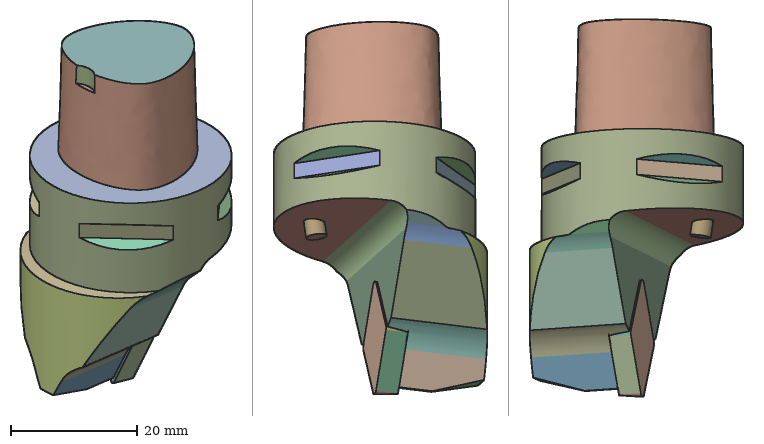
import cadquery as cq
import math


shank_height = 18.8
shank_base_radius = 11.05
shank_top_radius = 10.5
lobe_height = 0.74
outline_steps = 48
notch_radius = 3.5
notch_depth_y = -8.9
notch_height = 3.25

flange_radius = 16.0
flange_bottom = -16.1
slot_z = -6.15
slot_floor_distance = 14.15
slot_floor_height = 2.5
slot_flank_angle = 30
slot_count = 4

head_offset = 2.0
shelf_angle = 10
tip_z = -40.2
front_face_y = -0.3
relief_edge_z = -12.15
relief_slope = 4.6
relief_fillet = 3.55
heel_y = -18.0
heel_z = -36.1
toe_y = -9.7
toe_z = -38.6

shoulder_z = -14.5
shoulder_foot = (14.4, -16.1)
shoulder_bend = (13.4, -17.2)
flank_top = (12.7, -18.4)
flank_bottom = (6.8, -29.55)
throat_middle = (4.85, -30.85)
throat_end = (3.05, -33.2)
toe_half_width = 0.25

nozzle_diameter = 3.3
nozzle_tilt = 9
nozzle_end_y = 9.8
nozzle_end_z = -15.0
nozzle_length = 4.7

insert_angle = 55
insert_inscribed_radius = 4.8
insert_nose_radius = 0.795
insert_thickness = 3.9
insert_clearance = 7

margin = 5.9
span = 4 * flange_radius


def tan_deg(degrees):
    """Tangent of an angle in degrees."""
    return math.tan(math.radians(degrees))


def shank_outline(radius):
    """Closed constant-width outline with one lobe toward +Y."""
    points = []
    for step in range(outline_steps):
        t = 2 * math.pi * step / outline_steps
        reach = radius + lobe_height * math.cos(3 * t)
        slope = -3 * lobe_height * math.sin(3 * t)
        across = reach * math.sin(t) + slope * math.cos(t)
        along = reach * math.cos(t) - slope * math.sin(t)
        points.append(cq.Vector(across, along, 0))
    edge = cq.Edge.makeSpline(points, periodic=True)
    return cq.Wire.assembleEdges([edge])


def make_shank():
    base = shank_outline(shank_base_radius)
    top = shank_outline(shank_top_radius).translate(cq.Vector(0, 0, shank_height))
    shank = cq.Workplane(cq.Solid.makeLoft([base, top], True))
    notch = (
        cq.Workplane("XY", origin=(0, notch_depth_y - notch_radius, shank_height - notch_height))
        .circle(notch_radius)
        .extrude(notch_height + margin)
    )
    return shank.cut(notch)


def cut_gripper_slots(body):
    """Slots with a flat floor and sloping flanks, between the X and Y axes."""
    outer = flange_radius + margin
    floor_half = slot_floor_height / 2
    mouth_half = floor_half + (outer - slot_floor_distance) * tan_deg(slot_flank_angle)
    slot = (
        cq.Workplane("XZ")
        .polyline([
            (slot_floor_distance, slot_z - floor_half),
            (outer, slot_z - mouth_half),
            (outer, slot_z + mouth_half),
            (slot_floor_distance, slot_z + floor_half),
        ])
        .close()
        .extrude(flange_radius, both=True)
    )
    pitch = 360 / slot_count
    for index in range(slot_count):
        body = body.cut(slot.rotate((0, 0, 0), (0, 0, 1), (index + 0.5) * pitch))
    return body


def make_head_blank():
    """Offset cylinder whose top is a shallow cone around the tool axis."""
    cylinder = (
        cq.Workplane("XY", origin=(0, -head_offset, tip_z))
        .circle(flange_radius)
        .extrude(-tip_z)
    )
    outer = flange_radius + margin
    cone_drop = margin * tan_deg(shelf_angle)
    below_shelf = (
        cq.Workplane("XZ")
        .polyline([
            (0, flange_bottom),
            (flange_radius, flange_bottom),
            (outer, flange_bottom - cone_drop),
            (outer, tip_z),
            (0, tip_z),
        ])
        .close()
        .revolve(360, (0, 0), (0, 1))
    )
    return cylinder.intersect(below_shelf)


def flank_envelope():
    """Tapering outline in XZ, carried through along Y."""
    def mirrored(point):
        return (-point[0], point[1])

    outer = flange_radius + margin
    shoulder_outer = (outer, shoulder_z + margin)
    toe = (toe_half_width, toe_z)
    return (
        cq.Workplane("XZ")
        .moveTo(outer, 0)
        .lineTo(*shoulder_outer)
        .lineTo(*shoulder_foot)
        .threePointArc(shoulder_bend, flank_top)
        .lineTo(*flank_bottom)
        .threePointArc(throat_middle, throat_end)
        .lineTo(*toe)
        .lineTo(*mirrored(toe))
        .lineTo(*mirrored(throat_end))
        .threePointArc(mirrored(throat_middle), mirrored(flank_bottom))
        .lineTo(*mirrored(flank_top))
        .threePointArc(mirrored(shoulder_bend), mirrored(shoulder_foot))
        .lineTo(*mirrored(shoulder_outer))
        .lineTo(-outer, 0)
        .close()
        .extrude(span, both=True)
    )


def side_envelope():
    """Outline in YZ with the front relief and the sloping heel, carried through along X."""
    slope = tan_deg(relief_slope)
    relief_corner_z = relief_edge_z - (flange_radius - front_face_y) * slope
    outer = flange_radius + margin
    envelope = (
        cq.Workplane("YZ")
        .polyline([
            (outer, 0),
            (outer, relief_edge_z + margin * slope),
            (front_face_y, relief_corner_z),
            (front_face_y, toe_z),
            (toe_y, toe_z),
            (heel_y, heel_z),
            (heel_y, 0),
        ])
        .close()
        .extrude(span, both=True)
    )
    corner = cq.selectors.NearestToPointSelector((0, front_face_y, relief_corner_z))
    return envelope.edges("|X").edges(corner).fillet(relief_fillet)


def make_nozzle():
    tilt = math.radians(nozzle_tilt)
    axis = cq.Vector(0, math.sin(tilt), math.cos(tilt))
    end = cq.Vector(0, nozzle_end_y, nozzle_end_z)
    return cq.Workplane(cq.Solid.makeCylinder(nozzle_diameter / 2, nozzle_length, end, axis))


def make_insert():
    """Rhombic insert with rounded corners, its sides drawn in away from the cutting face."""
    half_angle = math.radians(insert_angle / 2)
    half_length = insert_inscribed_radius / math.sin(half_angle)
    half_width = insert_inscribed_radius / math.cos(half_angle)
    nose_setback = insert_nose_radius * (1 / math.sin(half_angle) - 1)
    center_z = tip_z + half_length - nose_setback

    def rounded_rhombus(inset, depth):
        """Outline moved inward by the inset, its corner radius shrinking by the same amount."""
        scale = 1 - inset / insert_inscribed_radius
        outline = cq.Wire.makePolygon(
            [
                cq.Vector(0, -depth, center_z + half_length * scale),
                cq.Vector(half_width * scale, -depth, center_z),
                cq.Vector(0, -depth, center_z - half_length * scale),
                cq.Vector(-half_width * scale, -depth, center_z),
            ],
            close=True,
        )
        return outline.fillet2D(insert_nose_radius - inset, outline.Vertices())

    back_inset = insert_thickness * tan_deg(insert_clearance)
    front = rounded_rhombus(0, 0)
    back = rounded_rhombus(back_inset, insert_thickness)
    return cq.Workplane(cq.Solid.makeLoft([front, back], True))


def make_holder(insert):
    flange = cq.Workplane("XY").circle(flange_radius).extrude(flange_bottom)
    body = cut_gripper_slots(flange).union(make_head_blank())
    body = body.intersect(flank_envelope()).intersect(side_envelope())
    return body.union(make_shank()).union(make_nozzle()).cut(insert)


insert = make_insert()
holder = make_holder(insert)
result = cq.Compound.makeCompound([holder.solids().val(), insert.val()])